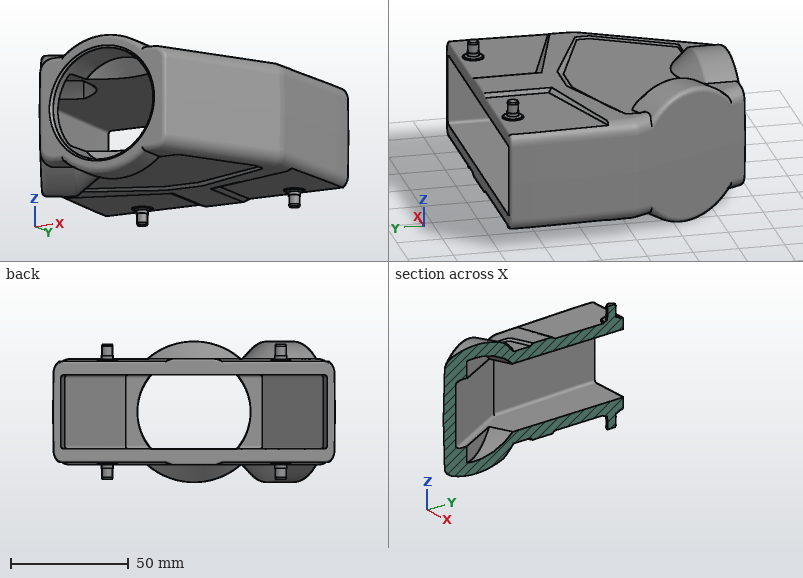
import cadquery as cq
import math

length = 109.7
back_half_width = 60.0
straight_side_start = 99.0
shoulder_half_width = 58.3
shoulder_y = 54.0
front_half_width = 30.2
shoulder_radius = 7.2
side_blend_radius = 108.0
half_height = 22.5
draft = 0.8

side_radius = 6.0
rim_radius = 2.2
mating_radius = 1.0

sleeve_radius = 30.0
sleeve_length = 15.1
sleeve_edge_radius = 1.5
sleeve_cone_rise = 1.2
left_sleeve_y = 26.6
bore_radius = 24.2
bore_end_radius = 23.4
bore_length = 18.0
bore_cone_rise = 0.75
bore_chamfer = 1.2
closed_end_wall = 6.0

side_wall = 3.4
front_wall = 5.0
chamber_half_height = 15.7
chamber_edge_radius = 1.5

recess_depth = 1.1
recess_floor = half_height - recess_depth
pad_floor_x = 12.1
pad_floor_corner_y = 81.8
pad_floor_outer_y = 62.5
pad_rim_x = 9.1
pad_rim_corner_y = 79.9
pad_rim_outer_y = 62.0
pad_outer_x = 66.0

panel_floor_corners = [(28.3, 15.8), (46.8, 50.2), (46.8, 55.8), (8.0, 70.7)]
panel_rim_corners = [(28.7, 15.5), (47.3, 50.2), (47.3, 56.4), (8.9, 73.2)]
panel_corner_radius = 1.8

pin_x = 36.8
pin_y = 103.3
pin_top = 28.7
shank_radius = 2.3
head_radius = 2.4
head_bottom = 27.8
head_bevel = 0.4
collar_radius = 2.5
collar_top = 23.9
foot_radius = 4.5
foot_step_radius = 4.0
foot_height = 1.0

slant_slope = (shoulder_half_width - front_half_width) / shoulder_y
slant_angle = math.degrees(math.atan(slant_slope))
left_sleeve_x = -(front_half_width + slant_slope * left_sleeve_y)

margin = 6.0
far = 2 * length
tolerance = 0.1


def mirrored_outline(right_side):
    """Close a right-hand run of points with its mirror image across X = 0."""
    return right_side + [(-x, y) for x, y in reversed(right_side)]


def block(y_start, y_end, z_start, z_end):
    """Wide block used to trim solids along Y and Z."""
    trim = cq.Workplane("XY", origin=(0, y_start, z_start))
    return trim.box(far, y_end - y_start, z_end - z_start, centered=(True, False, False))


def revolved_about_y(profile):
    """Solid of revolution about the Y axis from points given as (radius, y)."""
    return cq.Workplane("XY").polyline(profile).close().revolve(360, (0, 0, 0), (0, 1, 0))


def at_left_face(solid):
    """Move a solid from the front face to the left slanted face."""
    turn = slant_angle - 90
    return solid.rotate((0, 0, 0), (0, 0, 1), turn).translate((left_sleeve_x, left_sleeve_y, 0))


def drafted_envelope():
    """Space inside the drafted outer walls of the upper half, taller than the sleeves."""
    corners = mirrored_outline(
        [
            (front_half_width, 0),
            (shoulder_half_width, shoulder_y),
            (back_half_width, straight_side_start),
            (back_half_width, length + margin),
        ]
    )
    outline = cq.Sketch().polygon(corners + corners[:1])
    for y, radius in ((shoulder_y, shoulder_radius), (straight_side_start, side_blend_radius)):
        band = cq.selectors.BoxSelector((-far, y - tolerance, -1.2), (far, y + tolerance, 1.2))
        outline = outline.reset().vertices(band).fillet(radius)
    solid = cq.Workplane("XY").placeSketch(outline.reset()).extrude(sleeve_radius + margin, taper=draft)
    return solid.intersect(block(-margin, length, 0, far))


def sleeve_body():
    """Round sleeve along +Y whose rear end is a cone running to the axis."""
    tip = sleeve_length + sleeve_cone_rise * sleeve_radius
    sleeve = revolved_about_y(
        [(0, -margin), (sleeve_radius, -margin), (sleeve_radius, sleeve_length), (0, tip)]
    )
    shoulder = cq.selectors.BoxSelector(
        (-far, sleeve_length - tolerance, -far),
        (far, sleeve_length + tolerance, far),
        boundingbox=True,
    )
    return sleeve.edges(shoulder).fillet(sleeve_edge_radius)


def inner_bore(start):
    """Bore along +Y, tapered from the outer face inwards and closing in a blunt cone."""
    taper_per_length = (bore_radius - bore_end_radius) / bore_length
    start_radius = bore_radius - taper_per_length * start
    tip = bore_length + bore_cone_rise * bore_end_radius
    return revolved_about_y(
        [(0, start), (start_radius, start), (bore_end_radius, bore_length), (0, tip)]
    )


def half_shell():
    """Solid upper half with its sleeves and rounded outer edges."""
    envelope = drafted_envelope()
    body = envelope.intersect(block(0, length, 0, half_height))
    top_edges = body.faces(">Z").edges().vals()
    side_edges = [edge for edge in top_edges if 1.2 < edge.Center().y < length - 1.2]
    body = body.newObject(side_edges).fillet(side_radius)

    sleeve = sleeve_body()
    for placed in (at_left_face(sleeve), sleeve):
        body = body.union(placed.intersect(envelope))

    left_arc = cq.selectors.BoxSelector(
        (left_sleeve_x - rim_radius, left_sleeve_y - rim_radius, half_height),
        (left_sleeve_x + rim_radius, left_sleeve_y + rim_radius, sleeve_radius),
    )
    body = body.edges(left_arc).fillet(rim_radius)
    front_edges = [edge for edge in body.faces("<Y").edges().vals() if edge.Center().z > tolerance]
    return body.newObject(front_edges).fillet(rim_radius)


def tapered_pocket(floor_points, rim_points):
    """Pocket whose walls are ruled between a floor outline and a wider rim outline."""
    floor = cq.Workplane("XY", origin=(0, 0, recess_floor)).polyline(floor_points).close()
    return floor.workplane(offset=recess_depth).polyline(rim_points).close().loft(ruled=True)


def pin_pad():
    """Sunken pad around the right-hand pin, open at the back and at the side."""
    back = length + margin
    floor_points = [
        (pad_floor_x, back),
        (pad_floor_x, pad_floor_corner_y),
        (pad_outer_x, pad_floor_outer_y),
        (pad_outer_x, back),
    ]
    rim_points = [
        (pad_rim_x, back),
        (pad_rim_x, pad_rim_corner_y),
        (pad_outer_x, pad_rim_outer_y),
        (pad_outer_x, back),
    ]
    return tapered_pocket(floor_points, rim_points)


def front_panel():
    """Sunken panel between the pads and the sleeves, rounded at its outer corners."""
    panel = tapered_pocket(mirrored_outline(panel_floor_corners), mirrored_outline(panel_rim_corners))
    outer_corners = [
        edge
        for edge in panel.edges().vals()
        if abs(edge.Center().x) > front_half_width / 2 and edge.BoundingBox().zlen > recess_depth / 2
    ]
    panel = panel.newObject(outer_corners).fillet(panel_corner_radius)
    sleeve = sleeve_body()
    return panel.cut(sleeve).cut(at_left_face(sleeve))


def pin():
    """Pin with a bevelled head, on a collar standing on a low two-step conical foot."""
    profile = [
        (0, recess_floor - 1.2),
        (foot_radius, recess_floor - 1.2),
        (foot_radius, recess_floor),
        (foot_step_radius, recess_floor + foot_height / 2),
        (collar_radius, recess_floor + foot_height),
        (collar_radius, collar_top),
        (shank_radius, collar_top),
        (shank_radius, head_bottom),
        (head_radius, head_bottom),
        (head_radius - head_bevel, pin_top),
        (0, pin_top),
    ]
    return cq.Workplane("XZ").polyline(profile).close().revolve(360, (0, 0, 0), (0, 1, 0))


def half_hood():
    """Upper half, solid inside, with pads, panel and pins."""
    pad = pin_pad()
    half = half_shell().cut(pad).cut(pad.mirror("YZ")).cut(front_panel())
    mating_edges = [edge for edge in half.faces(">Y").edges().vals() if edge.Center().z > tolerance]
    half = half.newObject(mating_edges).fillet(mating_radius)
    for x in (-pin_x, pin_x):
        half = half.union(pin().translate((x, pin_y, 0)))
    return half


def chamber():
    """Flat chamber that follows the outline and is open at the mating face."""
    slanted_wall = side_wall / math.cos(math.radians(slant_angle))
    corners = mirrored_outline(
        [
            (front_half_width + slant_slope * front_wall - slanted_wall, front_wall),
            (shoulder_half_width - side_wall, shoulder_y),
            (back_half_width - side_wall, straight_side_start),
            (back_half_width - side_wall, far),
        ]
    )
    slab = cq.Workplane("XY").polyline(corners).close().extrude(chamber_half_height, both=True)
    return slab.faces("|Z").edges().fillet(chamber_edge_radius)


def bore_countersink():
    """Chamfer at the mouth of the front bore."""
    mouth_radius = bore_radius + bore_chamfer
    return revolved_about_y([(0, 0), (mouth_radius, 0), (bore_radius, bore_chamfer), (0, bore_chamfer)])


upper = half_hood()
result = upper.union(upper.mirror("XY"))
closed_bore = at_left_face(inner_bore(closed_end_wall))
for space in (chamber(), inner_bore(-margin), closed_bore, bore_countersink()):
    result = result.cut(space)